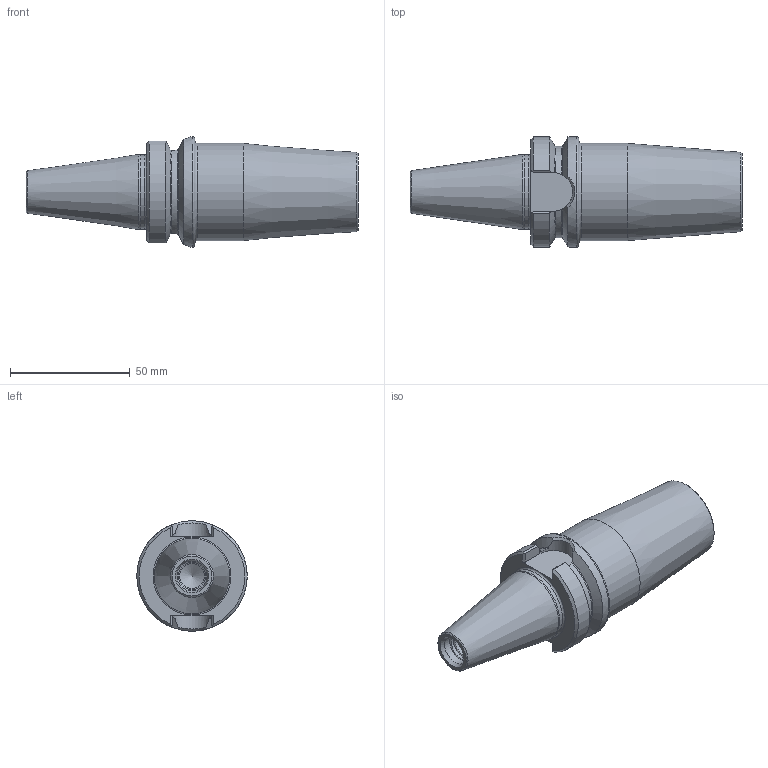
import cadquery as cq
import math

TAPER_RATE = 7 / 24
GAUGE_DIAMETER = 31.75
GAUGE_X = 48.4
TAPER_END_X = 47.0
SMALL_END_CHAMFER = 0.5
NECK_DIAMETER = 30.9
NECK_START_X = 47.9
NECK_FILLET = 0.8

FLANGE_DIAMETER = 46.0
FLANGE_START_X = GAUGE_X + 2.0
FLANGE_END_X = GAUGE_X + 22.0
FLANGE_FRONT_CHAMFER = 1.0
FLANGE_REAR_FILLET = 1.0
GROOVE_DIAMETER = 38.0
GROOVE_CENTRE_X = GAUGE_X + 13.6
GROOVE_FLOOR_WIDTH = 3.1
GROOVE_FLANK_ANGLE = 30.0
GROOVE_FILLET = 0.5

TOTAL_LENGTH = 138.4
BODY_DIAMETER = 40.5
BODY_END_X = 90.6
BODY_FILLET = 1.0
NOSE_DIAMETER = 33.1
NOSE_CHAMFER = 0.5

SLOT_WIDTH = 16.1
SLOT_FLOOR_Z = 16.3
SLOT_END_X = 67.8
SLOT_CHAMFER = 0.9

BORE_MOUTH_DIAMETER = 14.0
BORE_MOUTH_DEPTH = 1.8
BORE_PILOT_DIAMETER = 12.5
BORE_PILOT_DEPTH = 4.8
BORE_STEP_DIAMETER = 11.5
BORE_STEP_DEPTH = 6.4
BORE_CONE_LENGTH = 0.35
BORE_DIAMETER = 10.2
BORE_DEPTH = 34.0
DRILL_POINT_ANGLE = 118.0


def taper_radius(x):
    """Radius of the 7:24 taper at position x."""
    return (GAUGE_DIAMETER + (x - GAUGE_X) * TAPER_RATE) / 2


def make_body():
    """Solid of revolution: taper, neck, grooved flange and nose."""
    neck_r = NECK_DIAMETER / 2
    flange_r = FLANGE_DIAMETER / 2
    groove_r = GROOVE_DIAMETER / 2
    body_r = BODY_DIAMETER / 2
    nose_r = NOSE_DIAMETER / 2
    floor_half = GROOVE_FLOOR_WIDTH / 2
    rim_half = floor_half + (flange_r - groove_r) * math.tan(math.radians(GROOVE_FLANK_ANGLE))
    profile = (
        cq.Workplane("XY")
        .moveTo(0, 0)
        .lineTo(0, taper_radius(0) - SMALL_END_CHAMFER)
        .lineTo(SMALL_END_CHAMFER, taper_radius(SMALL_END_CHAMFER))
        .lineTo(TAPER_END_X, taper_radius(TAPER_END_X))
        .lineTo(NECK_START_X, neck_r)
        .lineTo(FLANGE_START_X - NECK_FILLET, neck_r)
        .radiusArc((FLANGE_START_X, neck_r + NECK_FILLET), -NECK_FILLET)
        .lineTo(FLANGE_START_X, flange_r - FLANGE_FRONT_CHAMFER)
        .lineTo(FLANGE_START_X + FLANGE_FRONT_CHAMFER, flange_r)
        .lineTo(GROOVE_CENTRE_X - rim_half, flange_r)
        .lineTo(GROOVE_CENTRE_X - floor_half, groove_r)
        .lineTo(GROOVE_CENTRE_X + floor_half, groove_r)
        .lineTo(GROOVE_CENTRE_X + rim_half, flange_r)
        .lineTo(FLANGE_END_X - FLANGE_REAR_FILLET, flange_r)
        .radiusArc((FLANGE_END_X, flange_r - FLANGE_REAR_FILLET), FLANGE_REAR_FILLET)
        .lineTo(FLANGE_END_X, body_r + BODY_FILLET)
        .radiusArc((FLANGE_END_X + BODY_FILLET, body_r), -BODY_FILLET)
        .lineTo(BODY_END_X, body_r)
        .lineTo(TOTAL_LENGTH - NOSE_CHAMFER, nose_r)
        .lineTo(TOTAL_LENGTH, nose_r - NOSE_CHAMFER)
        .lineTo(TOTAL_LENGTH, 0)
        .close()
    )
    body = profile.revolve(360, (0, 0, 0), (1, 0, 0))
    groove_floor_edges = cq.selectors.BoxSelector(
        (GROOVE_CENTRE_X - GROOVE_FLOOR_WIDTH, -flange_r, -flange_r),
        (GROOVE_CENTRE_X + GROOVE_FLOOR_WIDTH, flange_r, flange_r),
        boundingbox=True,
    )
    return body.edges("%CIRCLE").edges(groove_floor_edges).fillet(GROOVE_FILLET)


def make_slot():
    """Upper driving slot: open to the shank side, round at the nose side."""
    half = SLOT_WIDTH / 2
    centre_x = SLOT_END_X - half
    return (
        cq.Workplane("XY", origin=(0, 0, SLOT_FLOOR_Z))
        .moveTo(GAUGE_X, -half)
        .lineTo(centre_x, -half)
        .threePointArc((SLOT_END_X, 0), (centre_x, half))
        .lineTo(GAUGE_X, half)
        .close()
        .extrude(FLANGE_DIAMETER / 2)
    )


def make_bore():
    """Cutter for the pull-stud bore: countersink, pilot, step and drilled end."""
    bore_r = BORE_DIAMETER / 2
    step_r = BORE_STEP_DIAMETER / 2
    pilot_r = BORE_PILOT_DIAMETER / 2
    mouth_r = BORE_MOUTH_DIAMETER / 2
    tip = bore_r / math.tan(math.radians(DRILL_POINT_ANGLE / 2))
    profile = (
        cq.Workplane("XY")
        .moveTo(0, 0)
        .lineTo(0, mouth_r)
        .lineTo(BORE_MOUTH_DEPTH, pilot_r)
        .lineTo(BORE_PILOT_DEPTH, pilot_r)
        .lineTo(BORE_PILOT_DEPTH + BORE_CONE_LENGTH, step_r)
        .lineTo(BORE_STEP_DEPTH, step_r)
        .lineTo(BORE_STEP_DEPTH + BORE_CONE_LENGTH, bore_r)
        .lineTo(BORE_DEPTH, bore_r)
        .lineTo(BORE_DEPTH + tip, 0)
        .close()
    )
    return profile.revolve(360, (0, 0, 0), (1, 0, 0))


def make_slot_entry():
    """Cutter that bevels both vertical corners where the upper slot meets the flange face."""
    half = SLOT_WIDTH / 2
    return (
        cq.Workplane("XY", origin=(0, 0, SLOT_FLOOR_Z))
        .moveTo(FLANGE_START_X, -half - SLOT_CHAMFER)
        .lineTo(FLANGE_START_X + SLOT_CHAMFER, -half)
        .lineTo(FLANGE_START_X + SLOT_CHAMFER, half)
        .lineTo(FLANGE_START_X, half + SLOT_CHAMFER)
        .close()
        .extrude(FLANGE_DIAMETER / 2)
    )


def chamfer_slot_rims(part):
    """Chamfer the edges where the slot walls meet the outer surface of the flange."""
    half = SLOT_WIDTH / 2
    flange_r = FLANGE_DIAMETER / 2
    rim_z = math.sqrt(flange_r**2 - half**2)
    margin = 0.1
    for low_z, high_z in ((rim_z - margin, flange_r), (-flange_r, -rim_z + margin)):
        rim = cq.selectors.BoxSelector(
            (FLANGE_START_X, -half - margin, low_z),
            (FLANGE_END_X, half + margin, high_z),
        )
        part = part.edges(rim).chamfer(SLOT_CHAMFER)
    return part


slot = make_slot()
slot_entry = make_slot_entry()
result = make_body().cut(make_bore())
result = result.cut(slot).cut(slot.mirror("XY"))
result = chamfer_slot_rims(result)
result = result.cut(slot_entry).cut(slot_entry.mirror("XY"))